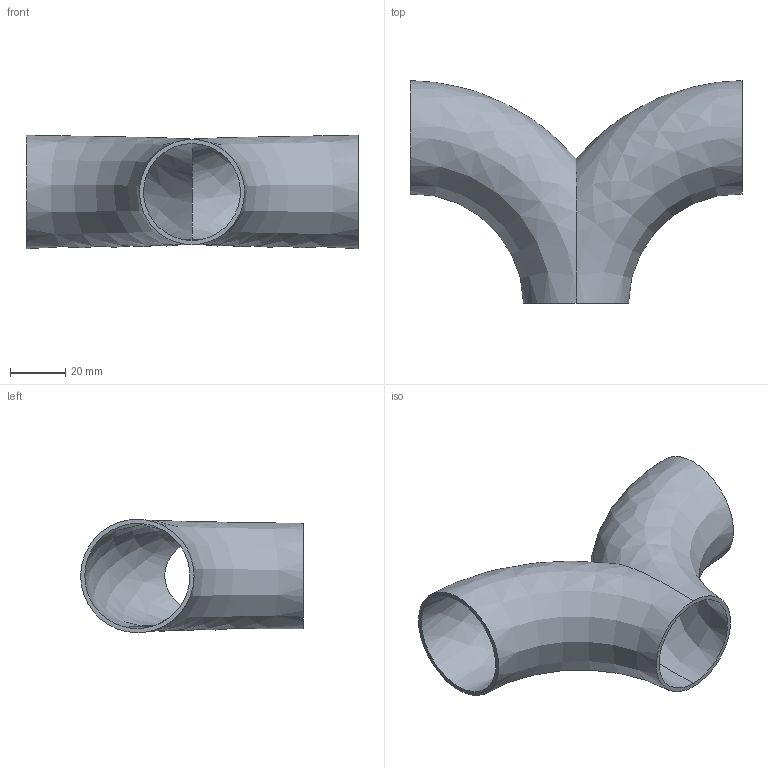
import cadquery as cq

BEND_RADIUS = 60.0
INLET_DIAMETER = 38.0
OUTLET_DIAMETER = 41.0
WALL = 1.5

X_AXIS = cq.Vector(1, 0, 0)
Y_AXIS = cq.Vector(0, 1, 0)


def tapered_bend(inlet_diameter, outlet_diameter):
    """Solid quarter bend that enters along +Y at the origin, leaves along +X and widens evenly."""
    inlet_center = cq.Vector(0, 0, 0)
    outlet_center = cq.Vector(BEND_RADIUS, BEND_RADIUS, 0)
    bend_center = X_AXIS * BEND_RADIUS
    arc_middle = bend_center + (Y_AXIS - X_AXIS).normalized() * BEND_RADIUS
    arc = cq.Edge.makeThreePointArc(inlet_center, arc_middle, outlet_center)
    centreline = cq.Wire.assembleEdges([arc])

    inlet = cq.Wire.makeCircle(inlet_diameter / 2, inlet_center, Y_AXIS)
    outlet = cq.Wire.makeCircle(outlet_diameter / 2, outlet_center, X_AXIS)
    return cq.Workplane(cq.Solid.sweep_multi([inlet, outlet], centreline))


def right_branch():
    """Hollow bend trimmed on the X = 0 plane, where it meets its mirror image."""
    outside = tapered_bend(INLET_DIAMETER, OUTLET_DIAMETER)
    bore = tapered_bend(INLET_DIAMETER - 2 * WALL, OUTLET_DIAMETER - 2 * WALL)

    trim_size = 4 * BEND_RADIUS
    right_side = cq.Workplane("XY").box(trim_size, trim_size, trim_size, centered=(False, True, True))
    return outside.intersect(right_side).cut(bore)


branch = right_branch()
result = branch.union(branch.mirror("YZ"))